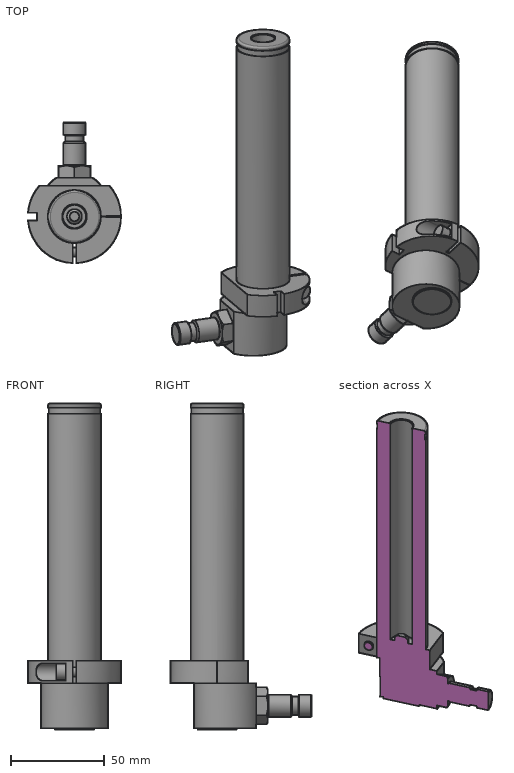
import cadquery as cq

total_height = 174.9
tube_diameter = 28.5
neck_diameter = 27.8
neck_bottom = 169.5
neck_top = 172.6
rim_round = 1.2

bore_diameter = 12.5
bore_mouth_diameter = 13.3
bore_floor = 38.5
stud_diameter = 8.0
stud_tip_diameter = 5.0
stud_height = 3.5

base_diameter = 36.0
base_center_y = 5.6
base_flat_y = 20.8
base_bottom = 0.9
disc_diameter = 21.0
disc_chamfer = 0.3

clamp_diameter = 50.0
clamp_bottom = 25.0
clamp_top = 37.0
clamp_flat_y = 16.6
notch_width = 4.0
notch_floor_x = -20.1
front_slit_width = 1.7
side_slit_width = 0.3

screw_y = -19.0
screw_z = (clamp_bottom + clamp_top) / 2
shank_diameter = 5.0
shank_reach = front_slit_width
head_diameter = 8.5
head_length = 5.0
pocket_diameter = 9.6
pocket_floor_x = -4.7

plug_z = (base_bottom + clamp_bottom) / 2
nut_across_flats = 17.3
nut_corner_diameter = 2 * nut_across_flats / 3**0.5
nut_outer_y = 27.1
nut_chamfer = 0.7
nut_chamfer_inset = 1.2
plug_tip_y = 50.5
plug_diameter = 12.0
plug_groove_diameter = 10.0
plug_edge = 0.5
groove_start_y = 39.4
groove_floor_start_y = 40.2
groove_floor_end_y = 43.4
groove_end_y = 43.9


def cylinder(diameter, bottom, top, y=0):
    return cq.Workplane("XY").workplane(offset=bottom).center(0, y).circle(diameter / 2).extrude(top - bottom)


def box(x_min, x_max, y_min, y_max, z_min, z_max):
    return cq.Workplane("XY").box(x_max - x_min, y_max - y_min, z_max - z_min, centered=False).translate(
        (x_min, y_min, z_min)
    )


def rod_along_x(diameter, x_min, x_max):
    return cq.Workplane("YZ", origin=(x_min, screw_y, screw_z)).circle(diameter / 2).extrude(x_max - x_min)


def make_tube():
    tube = cylinder(tube_diameter, clamp_bottom, neck_bottom)
    neck = cylinder(neck_diameter, neck_bottom, neck_top)
    rim = cylinder(tube_diameter, neck_top, total_height).faces(">Z").edges().fillet(rim_round)
    return tube.union(neck).union(rim)


def make_bore():
    mouth_chamfer = (bore_mouth_diameter - bore_diameter) / 2
    mouth = (
        cq.Workplane("XY")
        .workplane(offset=total_height - mouth_chamfer)
        .circle(bore_diameter / 2)
        .workplane(offset=mouth_chamfer)
        .circle(bore_mouth_diameter / 2)
        .loft()
    )
    return cylinder(bore_diameter, bore_floor, total_height).union(mouth)


def make_stud():
    tip_chamfer = (stud_diameter - stud_tip_diameter) / 2
    stud = cylinder(stud_diameter, bore_floor, bore_floor + stud_height)
    return stud.faces(">Z").edges().chamfer(tip_chamfer)


def make_base():
    radius = base_diameter / 2
    body = cylinder(base_diameter, base_bottom, clamp_bottom, base_center_y)
    body = body.cut(
        box(-radius, radius, base_flat_y, base_center_y + radius, base_bottom, clamp_bottom)
    )
    disc = cylinder(disc_diameter, 0, base_bottom).faces("<Z").edges().chamfer(disc_chamfer)
    return body.union(disc)


def make_clamp():
    radius = clamp_diameter / 2
    heights = (clamp_bottom, clamp_top)
    ring = cylinder(clamp_diameter, *heights).cut(cylinder(tube_diameter, *heights))
    ring = ring.cut(box(-radius, radius, clamp_flat_y, radius, *heights))
    ring = ring.cut(box(-radius, notch_floor_x, -notch_width / 2, notch_width / 2, *heights))
    ring = ring.cut(box(-front_slit_width / 2, front_slit_width / 2, -radius, 0, *heights))
    ring = ring.cut(box(0, radius, -side_slit_width / 2, side_slit_width / 2, *heights))

    pocket_radius = pocket_diameter / 2
    pocket = rod_along_x(pocket_diameter, -radius, pocket_floor_x).union(
        box(-radius, pocket_floor_x, -radius, screw_y, screw_z - pocket_radius, screw_z + pocket_radius)
    )
    head = rod_along_x(head_diameter, pocket_floor_x - head_length, pocket_floor_x)
    shank = rod_along_x(shank_diameter, -shank_reach, shank_reach)
    return ring.cut(pocket).union(head).union(shank)


def make_nut():
    length = nut_outer_y - base_flat_y
    corner_radius = nut_corner_diameter / 2
    hexagon = cq.Workplane("XY").polygon(6, nut_corner_diameter).extrude(length)
    hexagon = hexagon.rotate((0, 0, 0), (0, 0, 1), 90)
    envelope = (
        cq.Workplane("XZ")
        .moveTo(0, 0)
        .lineTo(corner_radius, 0)
        .lineTo(corner_radius, length - nut_chamfer)
        .lineTo(corner_radius - nut_chamfer_inset, length)
        .lineTo(0, length)
        .close()
        .revolve(360, (0, 0), (0, 1))
    )
    return hexagon.intersect(envelope).rotate((0, 0, 0), (1, 0, 0), -90).translate((0, base_flat_y, plug_z))


def make_plug():
    radius = plug_diameter / 2
    groove_radius = plug_groove_diameter / 2
    profile = [
        (0, base_flat_y),
        (radius - plug_edge, base_flat_y),
        (radius - plug_edge, nut_outer_y),
        (radius, nut_outer_y + plug_edge),
        (radius, groove_start_y),
        (groove_radius, groove_floor_start_y),
        (groove_radius, groove_floor_end_y),
        (radius, groove_end_y),
        (radius, plug_tip_y - plug_edge),
        (radius - plug_edge, plug_tip_y),
        (0, plug_tip_y),
    ]
    plug = cq.Workplane("XY").polyline(profile).close().revolve(360, (0, 0), (0, 1))
    return plug.translate((0, 0, plug_z))


result = make_base().union(make_tube()).union(make_clamp()).union(make_nut()).union(make_plug())
result = result.cut(make_bore()).union(make_stud())